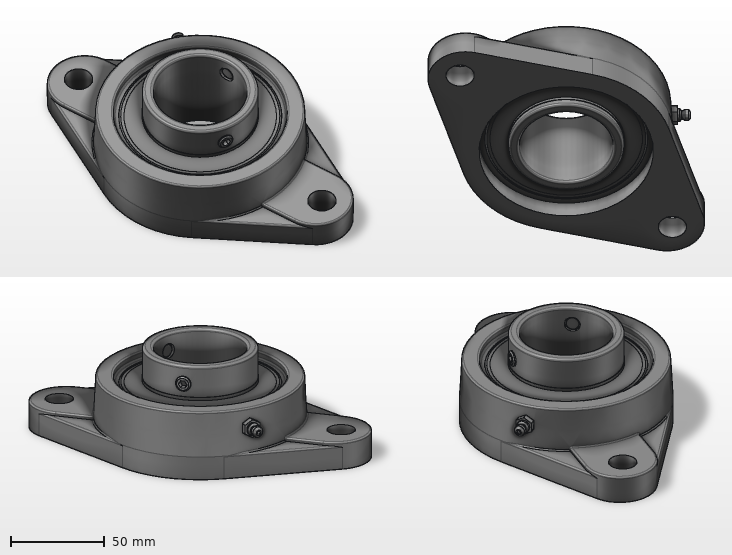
import cadquery as cq
import math


bolt_spacing = 157.0
bolt_hole_dia = 15.0
flange_length = 189.0
body_radius = 57.0
pad_end_radius = 20.0
pad_end_x = flange_length / 2 - pad_end_radius
web_top_z = 13.5
pad_top_z = 15.5
edge_round = 1.0
body_cone_start_z = 13.0
housing_top_z = 38.2
body_draft_angle = 3.0
body_round = 1.0
root_fillet = 0.8
recess_round = 1.0
recess_dia = 92.74

bearing_center_z = 22.0
outer_ring_width = 24.0
outer_ring_dia = 90.0
outer_ring_bore = 81.28
outer_ring_chamfer = 1.0
shaft_dia = 50.0
collar_dia = 61.72
inner_ring_land_dia = 62.23
land_top_z = 37.0
inner_ring_bottom_z = 3.0
inner_ring_top_z = 54.6
inner_ring_round = 1.5
seal_thickness = 3.0
seal_inner_rise = 1.2

screw_dia = 8.38
screw_z = 44.4
screw_angles = (90.0, -30.0)
screw_outer_radius = 32.2
screw_inner_radius = 25.8
screw_chamfer = 0.8
socket_across_flats = 4.0
socket_depth = 3.5

nipple_angle = 135.0
nipple_z = 27.5
nipple_head_dia = 6.0
nipple_tip_dia = 3.0
nipple_neck_dia = 4.6
nipple_flare_dia = 7.0
nipple_shank_dia = 6.0
nipple_bore_dia = 1.51
nipple_hex_across_flats = 8.9
nipple_shank_end = 50.0
nipple_hex_start = 56.0
nipple_hex_end = 59.3
nipple_flare_end = 60.5
nipple_neck_start = 61.4
nipple_neck_end = 62.3
nipple_head_start = 63.2
nipple_head_end = 65.2
nipple_tip = 66.3


def revolve_about_z(points):
    """Turn a closed (radius, z) outline about the Z axis."""
    return cq.Workplane("XZ").polyline(points).close().revolve(360, (0, 0), (0, 1))


def hexagon_dia(across_flats):
    """Across-corners diameter of a hexagon."""
    return across_flats / math.cos(math.radians(30))


def place_radially(body, angle, z):
    """Move a body built along +X at Z = 0 to its height and its angle about the shaft."""
    return body.translate((0, 0, z)).rotate((0, 0, 0), (0, 0, 1), angle)


def flange_web():
    """Rhombic plate: the body circle joined to both end circles by tangent lines."""
    cos_t = (body_radius - pad_end_radius) / pad_end_x
    sin_t = math.sqrt(1 - cos_t**2)
    near_x, near_y = body_radius * cos_t, body_radius * sin_t
    far_x, far_y = pad_end_x + pad_end_radius * cos_t, pad_end_radius * sin_t
    return (
        cq.Workplane("XY")
        .moveTo(-near_x, near_y)
        .threePointArc((0, body_radius), (near_x, near_y))
        .lineTo(far_x, far_y)
        .threePointArc((flange_length / 2, 0), (far_x, -far_y))
        .lineTo(near_x, -near_y)
        .threePointArc((0, -body_radius), (-near_x, -near_y))
        .lineTo(-far_x, -far_y)
        .threePointArc((-flange_length / 2, 0), (-far_x, far_y))
        .close()
        .extrude(web_top_z)
        .faces(">Z").edges().fillet(edge_round)
    )


def bolt_pads():
    """Raised strip that carries both bolt holes."""
    return (
        cq.Workplane("XY")
        .slot2D(flange_length, 2 * pad_end_radius)
        .extrude(pad_top_z)
        .faces(">Z").edges().fillet(edge_round)
    )


def bearing_barrel():
    """Round body with a drafted side and a rounded top edge."""
    draft = (housing_top_z - body_cone_start_z) * math.tan(math.radians(body_draft_angle))
    barrel = revolve_about_z([
        (0, 0),
        (body_radius, 0),
        (body_radius, body_cone_start_z),
        (body_radius - draft, housing_top_z),
        (0, housing_top_z),
    ])
    return barrel.faces(">Z").edges().fillet(body_round)


def outer_ring_blank():
    """Solid outer ring with a spherical outside, which also shapes its seat in the housing."""
    half_width = outer_ring_width / 2
    rim_radius = math.sqrt((outer_ring_dia / 2)**2 - half_width**2)
    return (
        cq.Workplane("XZ", origin=(0, 0, bearing_center_z))
        .moveTo(0, -half_width)
        .lineTo(rim_radius, -half_width)
        .threePointArc((outer_ring_dia / 2, 0), (rim_radius, half_width))
        .lineTo(0, half_width)
        .close()
        .revolve(360, (0, 0), (0, 1))
    )


def housing_opening():
    """Recess above the bearing, rounded at its mouth and foot, and a plain bore below it."""
    ring_top_z = bearing_center_z + outer_ring_width / 2
    ring_bottom_z = bearing_center_z - outer_ring_width / 2
    recess_radius = recess_dia / 2
    upper = (
        cq.Workplane("XZ")
        .moveTo(0, ring_top_z)
        .lineTo(recess_radius - recess_round, ring_top_z)
        .tangentArcPoint((recess_round, recess_round))
        .lineTo(recess_radius, housing_top_z - recess_round)
        .tangentArcPoint((recess_round, recess_round))
        .lineTo(0, housing_top_z)
        .close()
        .revolve(360, (0, 0), (0, 1))
    )
    lower = cq.Workplane("XY").circle(recess_radius).extrude(ring_bottom_z)
    return upper.union(lower)


def flange_and_barrel():
    """Flange, pads and barrel in one, filleted where the barrel rises from the web and pads."""
    blank = flange_web().union(bearing_barrel(), clean=False).union(bolt_pads())
    margin = 0.1
    side = body_radius + margin
    low, high = body_cone_start_z - margin, pad_top_z + margin
    all_root_edges = cq.selectors.BoxSelector((-side, -side, low), (side, side, high), boundingbox=True)
    cone_start_arcs = cq.selectors.BoxSelector(
        (-side, -side, low), (side, side, body_cone_start_z + margin), boundingbox=True)
    return blank.edges(all_root_edges - cone_start_arcs).fillet(root_fillet)


def build_housing(nipple):
    bolt_holes = (
        cq.Workplane("XY")
        .pushPoints([(-bolt_spacing / 2, 0), (bolt_spacing / 2, 0)])
        .circle(bolt_hole_dia / 2)
        .extrude(pad_top_z)
    )
    return (
        flange_and_barrel()
        .cut(bolt_holes)
        .cut(housing_opening())
        .cut(outer_ring_blank())
        .cut(nipple)
    )


def build_outer_ring():
    bore = cq.Workplane("XY").circle(outer_ring_bore / 2).extrude(housing_top_z)
    ring = outer_ring_blank().faces("<Z or >Z").edges().chamfer(outer_ring_chamfer)
    return ring.cut(bore)


def build_inner_ring():
    ring = (
        cq.Workplane("XY", origin=(0, 0, inner_ring_bottom_z))
        .circle(collar_dia / 2).circle(shaft_dia / 2)
        .extrude(inner_ring_top_z - inner_ring_bottom_z)
        .faces("<Z or >Z").edges().fillet(inner_ring_round)
    )
    land_bottom_z = 2 * bearing_center_z - land_top_z
    land = (
        cq.Workplane("XY", origin=(0, 0, land_bottom_z))
        .circle(inner_ring_land_dia / 2).circle(shaft_dia / 2)
        .extrude(land_top_z - land_bottom_z)
    )
    ring = ring.union(land)
    for angle in screw_angles:
        hole = cq.Workplane("YZ").circle(screw_dia / 2).extrude(screw_outer_radius)
        ring = ring.cut(place_radially(hole, angle, screw_z))
    return ring


def build_upper_seal():
    """Shield between the rings, its outer face rising gently toward the inner ring."""
    rim_z = bearing_center_z + outer_ring_width / 2
    inner, outer = inner_ring_land_dia / 2, outer_ring_bore / 2
    return revolve_about_z([
        (inner, rim_z - seal_thickness),
        (outer, rim_z - seal_thickness),
        (outer, rim_z),
        (inner, rim_z + seal_inner_rise),
    ])


def build_set_screw(angle):
    screw = (
        cq.Workplane("YZ", origin=(screw_inner_radius, 0, 0))
        .circle(screw_dia / 2)
        .extrude(screw_outer_radius - screw_inner_radius)
        .edges("%CIRCLE").chamfer(screw_chamfer)
    )
    socket = (
        cq.Workplane("YZ", origin=(screw_outer_radius - socket_depth, 0, 0))
        .polygon(6, hexagon_dia(socket_across_flats))
        .extrude(socket_depth)
    )
    return place_radially(screw.cut(socket), angle, screw_z)


def build_grease_nipple():
    """Turned shank, neck and head with a hexagon against the housing wall."""
    turned = (
        cq.Workplane("XY")
        .polyline([
            (nipple_shank_end, 0),
            (nipple_shank_end, nipple_shank_dia / 2),
            (nipple_hex_end, nipple_shank_dia / 2),
            (nipple_hex_end, nipple_flare_dia / 2),
            (nipple_flare_end, nipple_flare_dia / 2),
            (nipple_neck_start, nipple_neck_dia / 2),
            (nipple_neck_end, nipple_neck_dia / 2),
            (nipple_head_start, nipple_head_dia / 2),
            (nipple_head_end, nipple_head_dia / 2),
            (nipple_tip, nipple_tip_dia / 2),
            (nipple_tip, 0),
        ])
        .close()
        .revolve(360, (0, 0), (1, 0))
    )
    hexagon = (
        cq.Workplane("YZ", origin=(nipple_hex_start, 0, 0))
        .transformed(rotate=(0, 0, 90))
        .polygon(6, hexagon_dia(nipple_hex_across_flats))
        .extrude(nipple_hex_end - nipple_hex_start)
    )
    bore = cq.Workplane("YZ").circle(nipple_bore_dia / 2).extrude(nipple_tip)
    return place_radially(turned.union(hexagon).cut(bore), nipple_angle, nipple_z)


grease_nipple = build_grease_nipple()
set_screws = [build_set_screw(angle) for angle in screw_angles]
housing = build_housing(grease_nipple)
outer_ring = build_outer_ring()
inner_ring = build_inner_ring()
upper_seal = build_upper_seal()
lower_seal = upper_seal.mirror("XY", (0, 0, bearing_center_z))

result = cq.Compound.makeCompound([
    housing.val(),
    outer_ring.val(),
    inner_ring.val(),
    upper_seal.val(),
    lower_seal.val(),
    *[screw.val() for screw in set_screws],
    grease_nipple.val(),
])